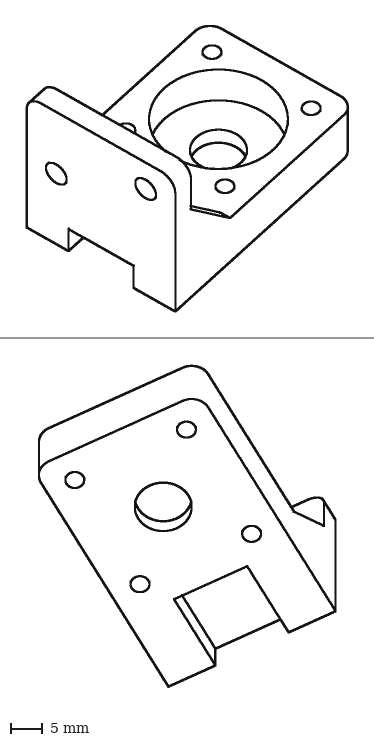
import cadquery as cq

width = 30.0
length = 46.0
height = 30.0
corner_radius = 3.0

base_height = 10.0
wall_thickness = 4.0
gusset_thickness = 2.0
gusset_leg = 10.0

seat_y = 30.0
seat_diameter = 22.0
seat_depth = 7.0
bore_diameter = 9.0
screw_diameter = 3.0
screw_spacing_x = 20.0
screw_spacing_y = 22.0

wall_hole_diameter = 4.2
wall_hole_offset_x = 9.0
wall_hole_low_z = 16.0
wall_hole_high_z = 24.0

notch_width = 13.1
notch_height = 5.0
notch_depth = wall_thickness + gusset_leg


def block(size_x, size_y, size_z):
    """Box centred in X that starts at Y = 0 and Z = 0."""
    return cq.Workplane("XY").box(size_x, size_y, size_z, centered=(True, False, False))


def make_base():
    return block(width, length, base_height).edges("|Z and >Y").fillet(corner_radius)


def make_wall():
    return block(width, wall_thickness, height).edges("|Y and >Z").fillet(corner_radius)


def make_gusset(start_x):
    """Triangular rib from start_x towards +X, between the base and the wall."""
    return (
        cq.Workplane("YZ", origin=(start_x, wall_thickness, base_height))
        .lineTo(gusset_leg, 0)
        .lineTo(0, gusset_leg)
        .close()
        .extrude(gusset_thickness)
    )


def cut_bearing_seat(body):
    top = body.copyWorkplane(cq.Workplane("XY", origin=(0, seat_y, base_height)))
    body = top.cboreHole(bore_diameter, seat_diameter, seat_depth, base_height)
    top = body.copyWorkplane(cq.Workplane("XY", origin=(0, seat_y, base_height)))
    return top.rarray(screw_spacing_x, screw_spacing_y, 2, 2).hole(screw_diameter, base_height)


def cut_wall_holes(body):
    centres = [
        (-wall_hole_offset_x, wall_hole_low_z),
        (wall_hole_offset_x, wall_hole_high_z),
    ]
    drills = (
        cq.Workplane("XZ")
        .pushPoints(centres)
        .circle(wall_hole_diameter / 2)
        .extrude(-wall_thickness)
    )
    return body.cut(drills)


bracket = make_base().union(make_wall())
for gusset_start_x in (-width / 2, width / 2 - gusset_thickness):
    bracket = bracket.union(make_gusset(gusset_start_x))

bracket = cut_bearing_seat(bracket)
bracket = cut_wall_holes(bracket)
result = bracket.cut(block(notch_width, notch_depth, notch_height))